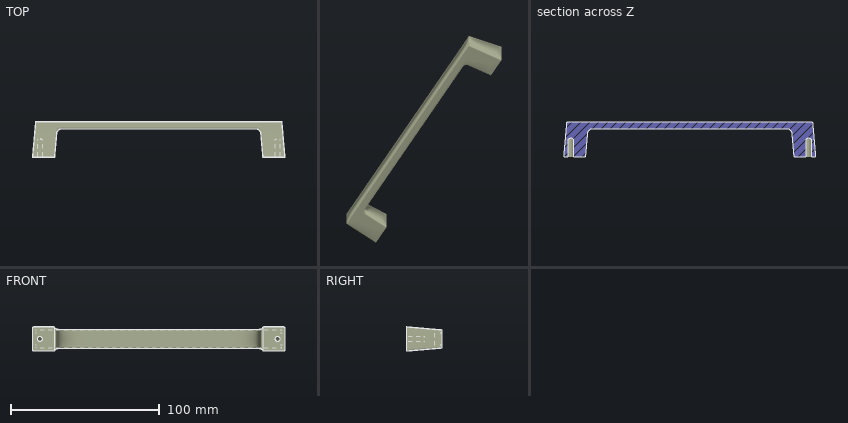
import cadquery as cq
import math

length = 170.0
depth = 24.0
foot_height = 16.5

draft_angle = 5.0
foot_length = 15.0
bar_thickness = 5.0
inner_corner_radius = 3.0
edge_radius = 1.0

back_corner_radius = 1.0
back_corner_height = 8.0

hole_spacing = 160.0
hole_diameter = 3.3
hole_depth = 12.0
drill_point_angle = 118.0

front_y = -depth / 2
back_y = depth / 2
bar_front_y = back_y - bar_thickness
draft = math.tan(math.radians(draft_angle))
half_length = length / 2
inner_half_length = half_length - foot_length


def draft_inset(y):
    """Distance that a drafted wall has moved inward at the given Y."""
    return (y - front_y) * draft


def handle_blank():
    """Drafted U shape with rounded inner corners where the legs meet the bar."""
    foot_end = half_length
    back_end = half_length - draft_inset(back_y)
    inner_end = inner_half_length - draft_inset(bar_front_y)
    outline = [
        (-foot_end, front_y),
        (-inner_half_length, front_y),
        (-inner_end, bar_front_y),
        (inner_end, bar_front_y),
        (inner_half_length, front_y),
        (foot_end, front_y),
        (back_end, back_y),
        (-back_end, back_y),
    ]
    plan = cq.Workplane("XY").polyline(outline).close().extrude(foot_height / 2, both=True)
    corner_points = [(-inner_end, bar_front_y, 0), (inner_end, bar_front_y, 0)]
    for point in corner_points:
        plan = plan.edges(cq.NearestToPointSelector(point)).fillet(inner_corner_radius)

    front_half = foot_height / 2
    back_half = front_half - draft_inset(back_y)
    side = [
        (front_y, -front_half),
        (front_y, front_half),
        (back_y, back_half),
        (back_y, -back_half),
    ]
    taper = cq.Workplane("YZ").polyline(side).close().extrude(half_length, both=True)
    return plan.intersect(taper)


def round_long_edges(body):
    """Round the edges where the drafted top and bottom meet the end walls and the inner walls."""
    return body.edges("not (<Y or >Y or |Z)").fillet(edge_radius)


def screw_hole(x):
    """Blind hole with a drill point, entering a foot from its front face."""
    radius = hole_diameter / 2
    tip = radius / math.tan(math.radians(drill_point_angle / 2))
    profile = [
        (x, front_y),
        (x + radius, front_y),
        (x + radius, front_y + hole_depth),
        (x, front_y + hole_depth + tip),
    ]
    return cq.Workplane("XY").polyline(profile).close().revolve(360, (x, 0), (x, 1))


def back_corner_waste():
    """Slivers whose removal rounds the middle stretch of the two back corners."""
    corner_angle = math.radians(90 + draft_angle)
    tangent_length = back_corner_radius / math.tan(corner_angle / 2)
    corner_x = half_length - draft_inset(back_y)
    wall_tangent = (
        corner_x + tangent_length * math.sin(math.radians(draft_angle)),
        back_y - tangent_length * math.cos(math.radians(draft_angle)),
    )
    back_tangent = (corner_x - tangent_length, back_y)
    sliver = (
        cq.Workplane("XY", origin=(0, 0, -back_corner_height / 2))
        .moveTo(*wall_tangent)
        .lineTo(corner_x, back_y)
        .lineTo(*back_tangent)
        .radiusArc(wall_tangent, back_corner_radius)
        .close()
        .extrude(back_corner_height)
    )
    return sliver.union(sliver.mirror("YZ"))


result = round_long_edges(handle_blank()).cut(back_corner_waste())
for side_sign in (-1, 1):
    result = result.cut(screw_hole(side_sign * hole_spacing / 2))